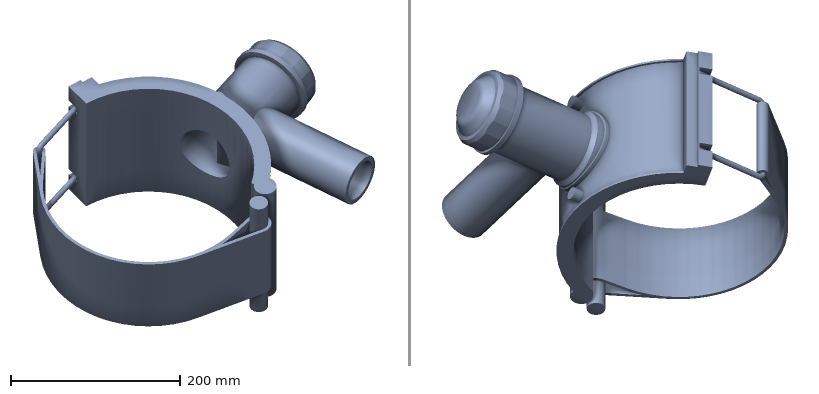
import cadquery as cq
import math

PIPE_RADIUS = 125.0
SADDLE_RADIUS = 142.0
SHELL_MIDDLE = (PIPE_RADIUS + SADDLE_RADIUS) / 2
RIM_RADIUS = 145.0
RIM_WIDTH = 2.5
SADDLE_LENGTH = 176.0
SADDLE_START = 20.0
SADDLE_END = 180.0 - SADDLE_START

BLOCK_RADIUS = 160.0
BLOCK_STEP = 4.0
BLOCK_LOWER_HEIGHT = 17.5
BLOCK_HEIGHT = 31.0
BEAD_RADIUS = 13.5

ROD_RADIUS = 3.5
ROD_X = -139.0
ROD_CROSS_Y = -24.7
ROD_TIP_Y = 69.7
ROD_LEG_Z = 59.0
ROD_BEND_RADIUS = 6.0
SLOT_WIDTH = 10.0
SLOT_Z = 58.4
SLOT_DEPTH_X = -135.0

BAND_THICKNESS = 4.0
BAND_WIDTH = 106.0
PIN_X = 142.3
PIN_Y = 21.6
PIN_RADIUS = 22.11 / 2

PAD_RADIUS = 50.0
PAD_OUTER_RADIUS = 147.5
NECK_RADIUS = 47.5
NECK_TOP = 149.3
TUBE_RADIUS = 42.5
TUBE_BORE_RADIUS = 35.0
CAP_FLANGE_RADIUS = 50.0
CAP_FLANGE_BASE = 257.2
CAP_FLANGE_TOP = 263.3
CAP_RADIUS = 47.5
CAP_GRIP_TOP = 284.2
CAP_SHOULDER_RADIUS = 44.0
CAP_SHOULDER = 289.7
DOME_RADIUS = 39.0
DOME_SLOPE = 45.0
DOME_FILLET = 10.0
TOWER_TOP = 301.55
GRIP_FLATS = 8

FLAP_RADIUS = 146.0
FLAP_THICKNESS = 0.5

BRANCH_Y = 188.6
BRANCH_END = 175.0
BRANCH_RADIUS = 31.5
BRANCH_BORE_RADIUS = 25.2

STUD_RADIUS = 7.75
STUD_TOP = 154.5
STUD_Z = 70.8


def polar(radius, angle, center=(0.0, 0.0)):
    """Point at a radius and an angle in degrees from a center."""
    a = math.radians(angle)
    return (center[0] + radius * math.cos(a), center[1] + radius * math.sin(a))


def prism(outline, length):
    """XY outline, closed and extruded evenly to both sides of Z = 0."""
    return outline.close().extrude(length / 2, both=True)


def ring_sector(inner, outer, start, end, length, center=(0.0, 0.0)):
    """Part of a ring between two angles."""
    middle = (start + end) / 2
    outline = (
        cq.Workplane("XY")
        .moveTo(*polar(inner, start, center))
        .lineTo(*polar(outer, start, center))
        .threePointArc(polar(outer, middle, center), polar(outer, end, center))
        .lineTo(*polar(inner, end, center))
        .threePointArc(polar(inner, middle, center), polar(inner, start, center))
    )
    return prism(outline, length)


def disc_along_y(radius, base, top, z=0.0):
    """Cylinder parallel to Y between two Y levels."""
    return cq.Workplane("XZ", origin=(0, base, z)).circle(radius).extrude(base - top)


def make_saddle():
    shell = ring_sector(PIPE_RADIUS, SADDLE_RADIUS, SADDLE_START, SADDLE_END, SADDLE_LENGTH)
    rim = ring_sector(PIPE_RADIUS, RIM_RADIUS, SADDLE_START, SADDLE_END, RIM_WIDTH)
    rim_z = (SADDLE_LENGTH - RIM_WIDTH) / 2
    for z in (-rim_z, rim_z):
        shell = shell.union(rim.translate((0, 0, z)))
    bead_x, bead_y = polar(SADDLE_RADIUS, SADDLE_START)
    bead = cq.Workplane("XY").center(bead_x, bead_y).circle(BEAD_RADIUS)
    return shell.union(bead.extrude(SADDLE_LENGTH / 2, both=True))


def make_hook_block():
    """Stepped block whose end face lies on a radius; drawn along +X, then turned in place."""
    step = BLOCK_RADIUS - BLOCK_STEP
    outline = (
        cq.Workplane("XY")
        .moveTo(SHELL_MIDDLE, 0)
        .lineTo(BLOCK_RADIUS, 0)
        .lineTo(BLOCK_RADIUS, -BLOCK_LOWER_HEIGHT)
        .lineTo(step, -BLOCK_LOWER_HEIGHT)
        .lineTo(step, -BLOCK_HEIGHT)
        .lineTo(SHELL_MIDDLE, -BLOCK_HEIGHT)
    )
    block = prism(outline, SADDLE_LENGTH).rotate((0, 0, 0), (0, 0, 1), SADDLE_END)
    slot_length = BLOCK_RADIUS + SLOT_DEPTH_X
    for z in (-SLOT_Z, SLOT_Z):
        slot = cq.Workplane("XY").box(slot_length, ROD_TIP_Y, SLOT_WIDTH, centered=(False, False, True))
        block = block.cut(slot.translate((-BLOCK_RADIUS, 0, z)))
    return block


def make_hook():
    """U-shaped wire: two legs along Y joined by a cross rod along Z."""
    path = (
        cq.Workplane("YZ", origin=(ROD_X, 0, 0))
        .moveTo(ROD_TIP_Y, ROD_LEG_Z)
        .lineTo(ROD_CROSS_Y + ROD_BEND_RADIUS, ROD_LEG_Z)
        .tangentArcPoint((-ROD_BEND_RADIUS, -ROD_BEND_RADIUS))
        .lineTo(ROD_CROSS_Y, ROD_BEND_RADIUS - ROD_LEG_Z)
        .tangentArcPoint((ROD_BEND_RADIUS, -ROD_BEND_RADIUS))
        .lineTo(ROD_TIP_Y, -ROD_LEG_Z)
    )
    section = cq.Workplane("XZ", origin=(ROD_X, ROD_TIP_Y, ROD_LEG_Z)).circle(ROD_RADIUS)
    return section.sweep(path)


def make_strand(ring_angle, loop_center, loop_angle, ring_radii, loop_radii):
    """Straight strip between matching tangent points on the ring and on a loop."""
    outline = cq.Workplane("XY").polyline([
        polar(ring_radii[0], ring_angle),
        polar(ring_radii[1], ring_angle),
        polar(loop_radii[1], loop_angle, loop_center),
        polar(loop_radii[0], loop_angle, loop_center),
    ])
    return prism(outline, BAND_WIDTH)


def band_tangents(loop_center, core_radius, side):
    """Angles where the outer and inner strands of a loop leave the ring."""
    distance = math.hypot(*loop_center)
    direction = math.degrees(math.atan2(loop_center[1], loop_center[0])) % 360
    outer = math.degrees(math.acos((PIPE_RADIUS - core_radius) / distance))
    inner = math.degrees(math.acos((PIPE_RADIUS + core_radius + BAND_THICKNESS) / distance))
    return direction + side * outer, direction + side * inner


def make_loop(loop_center, core_radius, side):
    """Band end folded around a round core; side is +1 if the ring runs on counterclockwise."""
    outer_angle, inner_angle = band_tangents(loop_center, core_radius, side)
    ring_near, ring_far = PIPE_RADIUS, PIPE_RADIUS + BAND_THICKNESS
    loop_near, loop_far = core_radius, core_radius + BAND_THICKNESS
    outer_strand = make_strand(
        outer_angle, loop_center, outer_angle, (ring_near, ring_far), (loop_near, loop_far))
    inner_strand = make_strand(
        inner_angle, loop_center, inner_angle + 180, (ring_near, ring_far), (loop_far, loop_near))
    fold_end = inner_angle - side * 180
    fold = ring_sector(loop_near, loop_far, outer_angle, fold_end, BAND_WIDTH, loop_center)
    return fold.union(outer_strand).union(inner_strand)


def make_band():
    hook_center = (ROD_X, ROD_CROSS_Y)
    pin_center = (PIN_X, PIN_Y)
    start = band_tangents(hook_center, ROD_RADIUS, 1)[1]
    end = band_tangents(pin_center, PIN_RADIUS, -1)[1] + 360
    band = ring_sector(PIPE_RADIUS, PIPE_RADIUS + BAND_THICKNESS, start, end, BAND_WIDTH)
    band = band.union(make_loop(hook_center, ROD_RADIUS, 1))
    band = band.union(make_loop(pin_center, PIN_RADIUS, -1))
    pin = cq.Workplane("XY").center(PIN_X, PIN_Y).circle(PIN_RADIUS)
    return band.union(pin.extrude(SADDLE_LENGTH / 2, both=True))


def make_cap():
    """Screw cap with flats around its grip and a rounded dome."""
    slope = math.radians(DOME_SLOPE)
    corner_radius = DOME_RADIUS - (TOWER_TOP - CAP_SHOULDER) / math.tan(slope)
    setback = DOME_FILLET * math.tan(slope / 2)
    slope_point = (corner_radius + setback * math.cos(slope), TOWER_TOP - setback * math.sin(slope))
    fillet_center_y = TOWER_TOP - DOME_FILLET
    fillet_middle = polar(DOME_FILLET, 90 - DOME_SLOPE / 2, (corner_radius - setback, fillet_center_y))
    profile = (
        cq.Workplane("XY")
        .moveTo(0, CAP_FLANGE_TOP)
        .lineTo(CAP_RADIUS, CAP_FLANGE_TOP)
        .lineTo(CAP_RADIUS, CAP_GRIP_TOP)
        .lineTo(CAP_SHOULDER_RADIUS, CAP_SHOULDER)
        .lineTo(DOME_RADIUS, CAP_SHOULDER)
        .lineTo(*slope_point)
        .threePointArc(fillet_middle, (corner_radius - setback, TOWER_TOP))
        .lineTo(0, TOWER_TOP)
        .close()
    )
    cap = profile.revolve(360, (0, 0, 0), (0, 1, 0))
    flat_step = 360.0 / GRIP_FLATS
    flat_distance = CAP_RADIUS * math.cos(math.radians(flat_step / 4))
    corner_distance = flat_distance / math.cos(math.radians(flat_step / 2))
    corners = [polar(corner_distance, flat_step * i) for i in range(GRIP_FLATS)]
    grip = cq.Workplane("XZ", origin=(0, CAP_FLANGE_TOP, 0)).polyline(corners).close()
    cap = cap.intersect(grip.extrude(CAP_FLANGE_TOP - TOWER_TOP))
    return cap.union(disc_along_y(CAP_FLANGE_RADIUS, CAP_FLANGE_BASE, CAP_FLANGE_TOP))


def make_tower():
    """Pad, neck, tube, cap and branch, all reaching into the saddle wall."""
    pad_zone = ring_sector(SHELL_MIDDLE, PAD_OUTER_RADIUS, SADDLE_START, SADDLE_END, SADDLE_LENGTH)
    tower = disc_along_y(PAD_RADIUS, 0, TOWER_TOP).intersect(pad_zone)
    cone_top = NECK_TOP + NECK_RADIUS - TUBE_RADIUS
    neck_profile = (
        cq.Workplane("XY")
        .lineTo(NECK_RADIUS, 0)
        .lineTo(NECK_RADIUS, NECK_TOP)
        .lineTo(TUBE_RADIUS, cone_top)
        .lineTo(0, cone_top)
        .close()
    )
    neck = neck_profile.revolve(360, (0, 0, 0), (0, 1, 0))
    inner_space = cq.Workplane("XY").circle(SHELL_MIDDLE).extrude(SADDLE_LENGTH / 2, both=True)
    tower = tower.union(neck.cut(inner_space))
    tower = tower.union(disc_along_y(TUBE_RADIUS, PAD_OUTER_RADIUS, CAP_FLANGE_BASE))
    branch = cq.Workplane("YZ").center(BRANCH_Y, 0).circle(BRANCH_RADIUS).extrude(BRANCH_END)
    return tower.union(branch).union(make_cap())


def make_bores():
    tower_bore = disc_along_y(TUBE_BORE_RADIUS, 0, CAP_FLANGE_BASE)
    branch_bore = cq.Workplane("YZ").center(BRANCH_Y, 0).circle(BRANCH_BORE_RADIUS).extrude(BRANCH_END)
    return tower_bore.union(branch_bore)


def make_flap():
    """Thin curved plate closing the +X half of the tower bore."""
    plate = ring_sector(FLAP_RADIUS, FLAP_RADIUS + FLAP_THICKNESS, SADDLE_START, 90, SADDLE_LENGTH)
    return plate.intersect(disc_along_y(TUBE_BORE_RADIUS + FLAP_THICKNESS, 0, TOWER_TOP))


def make_studs():
    studs = cq.Workplane("XY")
    for z in (-STUD_Z, STUD_Z):
        studs = studs.union(disc_along_y(STUD_RADIUS, SHELL_MIDDLE, STUD_TOP, z))
    return studs


result = make_saddle().union(make_tower()).cut(make_bores())
result = result.union(make_flap()).union(make_studs()).union(make_hook_block())
result = result.union(make_band()).union(make_hook())